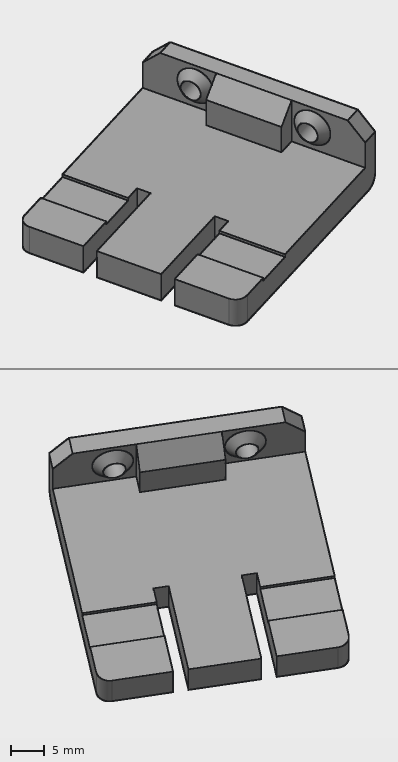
import cadquery as cq

width = 38.07
length = 40.0
height = 12.79

base_thickness = 5.0
wall_thickness = 3.0
wall_chamfer = 3.0
corner_radius = 2.0

tongue_width = 11.0
slot_width = 2.3
slot_length = 15.9

recess_front_offset = 6.8
recess_length = 6.45
recess_depth = 0.5

block_width = 12.9
block_depth = 3.0
block_chamfer = 3.0

hole_spacing = 20.0
hole_height = 9.0
hole_diameter = 3.4
collar_diameter = 6.2
collar_depth = (collar_diameter - hole_diameter) / 2

front_y = -length
wall_face_y = -wall_thickness
half_width = width / 2


def box(x_min, x_max, y_min, y_max, z_min, z_max):
    """Axis-aligned box between the given limits."""
    size = (x_max - x_min, y_max - y_min, z_max - z_min)
    return cq.Workplane("XY").box(*size, centered=False).translate((x_min, y_min, z_min))


def make_body():
    """Base plate with an upright back wall and its rounded and chamfered corners."""
    base = box(-half_width, half_width, front_y, 0, 0, base_thickness)
    base = base.edges("|Z and <Y").fillet(corner_radius)
    wall = box(-half_width, half_width, wall_face_y, 0, 0, height)
    wall = wall.edges("|Y and >Z").chamfer(wall_chamfer)
    return base.union(wall).edges("|X and >Y and <Z").fillet(corner_radius)


def make_stop_block():
    """Block against the wall, with its upper front edge sloped back to the wall top."""
    block_front_y = wall_face_y - block_depth
    profile = [
        (wall_face_y, base_thickness),
        (block_front_y, base_thickness),
        (block_front_y, height - block_chamfer),
        (block_front_y + block_chamfer, height),
    ]
    return cq.Workplane("YZ").polyline(profile).close().extrude(block_width / 2, both=True)


def make_collar(x):
    """Cone that narrows from the wall face to the hole diameter."""
    cone = cq.Solid.makeCone(
        collar_diameter / 2,
        hole_diameter / 2,
        collar_depth,
        pnt=cq.Vector(x, wall_face_y, hole_height),
        dir=cq.Vector(0, -1, 0),
    )
    return cq.Workplane(cone)


def make_hole(x):
    """Cylinder through the collar and the wall."""
    cylinder = cq.Solid.makeCylinder(
        hole_diameter / 2,
        wall_thickness + collar_depth,
        pnt=cq.Vector(x, 0, hole_height),
        dir=cq.Vector(0, -1, 0),
    )
    return cq.Workplane(cylinder)


def make_slot(side):
    """Slot from the front edge through the base, on the given side of the tongue."""
    inner_x = tongue_width / 2
    slot = box(inner_x, inner_x + slot_width, front_y, front_y + slot_length, 0, base_thickness)
    return slot if side > 0 else slot.mirror("YZ")


def make_recess(side):
    """Shallow step across the finger on the given side."""
    recess_front_y = front_y + recess_front_offset
    recess = box(
        tongue_width / 2 + slot_width,
        half_width,
        recess_front_y,
        recess_front_y + recess_length,
        base_thickness - recess_depth,
        base_thickness,
    )
    return recess if side > 0 else recess.mirror("YZ")


result = make_body().union(make_stop_block())
for side in (-1, 1):
    hole_x = side * hole_spacing / 2
    result = result.union(make_collar(hole_x)).cut(make_hole(hole_x))
    result = result.cut(make_slot(side)).cut(make_recess(side))